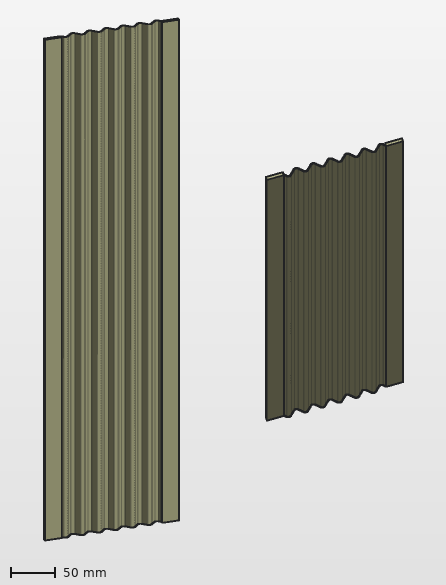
import cadquery as cq
import math

height = 615.0
total_width = 160.0
total_depth = 8.0

strip_width = 20.0
strip_thickness = 4.0
strip_front_x = -0.7

wave_count = 6
web_thickness = 1.0
bend_radius = 3.5

web_width = total_width - 2 * strip_width
web_start_y = -web_width / 2
half_wave_count = 2 * wave_count
half_pitch = web_width / half_wave_count
amplitude = (total_depth - web_thickness) / 2

bend_center_x = amplitude - bend_radius
flank_angle = math.atan2(half_pitch / 2, bend_center_x) - math.asin(
    bend_radius / math.hypot(bend_center_x, half_pitch / 2)
)
flank_normal_x = math.sin(flank_angle)
flank_normal_y = math.cos(flank_angle)


def bend_points(index, face):
    """Start, crest and end of one bend, on the +X (face 1) or -X (face -1) side of the web."""
    side = 1 if index % 2 == 0 else -1
    radius = bend_radius + side * face * web_thickness / 2
    center_y = web_start_y + (index + 0.5) * half_pitch
    tangent_x = side * (bend_center_x + radius * flank_normal_x)
    start = (tangent_x, center_y - radius * flank_normal_y)
    crest = (side * (bend_center_x + radius), center_y)
    end = (tangent_x, center_y + radius * flank_normal_y)
    return start, crest, end


def corrugated_web():
    """Sheet of constant thickness with round crests, cut flush where it meets the strips."""
    end_x = web_thickness / 2 / flank_normal_x
    outline = cq.Workplane("XY").moveTo(end_x, web_start_y)
    for index in range(half_wave_count):
        start, crest, end = bend_points(index, 1)
        outline = outline.lineTo(*start).threePointArc(crest, end)
    outline = outline.lineTo(end_x, -web_start_y).lineTo(-end_x, -web_start_y)
    for index in reversed(range(half_wave_count)):
        start, crest, end = bend_points(index, -1)
        outline = outline.lineTo(*end).threePointArc(crest, start)
    return outline.lineTo(-end_x, web_start_y).close().extrude(height)


def flat_strip(start_y):
    """Full-height flat strip reaching one strip width along +Y from start_y."""
    strip = cq.Workplane("XY").box(strip_thickness, strip_width, height, centered=False)
    return strip.translate((strip_front_x, start_y, 0))


corrugated_panel = corrugated_web().union(flat_strip(-total_width / 2))

edge_strip = flat_strip(web_width / 2)

result = cq.Compound.makeCompound([corrugated_panel.val(), edge_strip.val()])